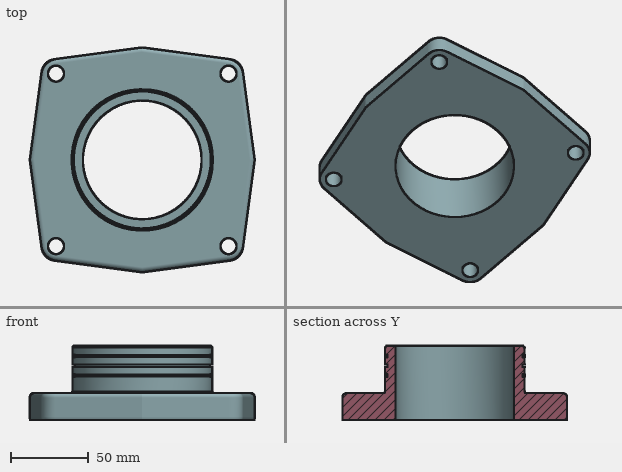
import cadquery as cq
import math

flange_width = 144.5
flange_height = 17.5
corner_reach = 63.7
corner_radius = 10.1
top_edge_radius = 3.2
bottom_taper_height = 1.5
bottom_taper_width = 0.3

hole_diameter = 10.1
hole_offset = 55.3

total_height = 47.7
spigot_radius = 44.9
bore_radius = 38.0
rim_chamfer = 1.0
base_chamfer_height = 0.9
base_chamfer_width = 0.5
groove_count = 3
groove_pitch = 6.2
groove_width = 1.5
groove_depth = 1.5
first_groove_drop = 5.9


def make_flange():
    apex = flange_width / 2
    outline = [
        (apex, 0),
        (corner_reach, corner_reach),
        (0, apex),
        (-corner_reach, corner_reach),
        (-apex, 0),
        (-corner_reach, -corner_reach),
        (0, -apex),
        (corner_reach, -corner_reach),
    ]
    plate = (
        cq.Workplane("XY", origin=(0, 0, bottom_taper_height))
        .polyline(outline)
        .close()
        .extrude(flange_height - bottom_taper_height)
    )
    for x_side in (-1, 1):
        for y_side in (-1, 1):
            corner = (x_side * corner_reach, y_side * corner_reach, flange_height / 2)
            plate = plate.edges(cq.NearestToPointSelector(corner)).fillet(corner_radius)
    plate = plate.faces(">Z").edges().fillet(top_edge_radius)
    taper_angle = math.degrees(math.atan2(bottom_taper_width, bottom_taper_height))
    foot = (
        plate.faces("<Z")
        .wires()
        .toPending()
        .workplane()
        .extrude(bottom_taper_height, taper=taper_angle, combine=False)
    )
    return plate.union(foot)


def make_spigot():
    base_radius = spigot_radius + base_chamfer_width
    profile = [
        (0, 0),
        (base_radius, 0),
        (base_radius, flange_height),
        (spigot_radius, flange_height + base_chamfer_height),
        (spigot_radius, total_height - rim_chamfer),
        (spigot_radius - rim_chamfer, total_height),
        (0, total_height),
    ]
    spigot = cq.Workplane("XZ").polyline(profile).close().revolve(360, (0, 0), (0, 1))
    for index in range(groove_count):
        groove_top = total_height - first_groove_drop - index * groove_pitch
        groove = (
            cq.Workplane("XY", origin=(0, 0, groove_top - groove_width))
            .circle(spigot_radius + groove_depth)
            .circle(spigot_radius - groove_depth)
            .extrude(groove_width)
        )
        spigot = spigot.cut(groove)
    return spigot


bore = cq.Workplane("XY").circle(bore_radius).extrude(total_height)
mounting_holes = (
    cq.Workplane("XY")
    .rect(2 * hole_offset, 2 * hole_offset, forConstruction=True)
    .vertices()
    .circle(hole_diameter / 2)
    .extrude(flange_height)
)

result = make_flange().union(make_spigot()).cut(bore).cut(mounting_holes)